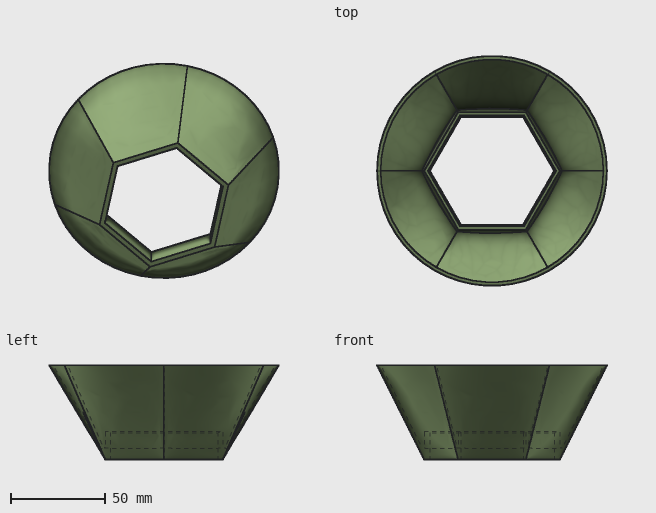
import cadquery as cq
import math

rim_radius = 61.0
base_corner_radius = 36.0
height = 50.0
wall = 2.0

floor_height = 6.1
collar_height = 15.0
opening_flat_radius = 28.5
collar_flat_radius = 31.1
lip_chamfer = 0.9
collar_fillet = 1.5

SIDES = 6
SECTOR = 2 * math.pi / SIDES
FLAT_RATIO = math.cos(SECTOR / 2)


def polar(radius, angle, z):
    return cq.Vector(radius * math.cos(angle), radius * math.sin(angle), z)


def hexagon_to_circle(corner_radius, circle_radius):
    """Solid whose six faces blend each hexagon side into a sixth of the rim."""
    sides = []
    arcs = []
    for i in range(SIDES):
        start = i * SECTOR
        middle = start + SECTOR / 2
        end = start + SECTOR
        sides.append(cq.Edge.makeLine(polar(corner_radius, start, 0), polar(corner_radius, end, 0)))
        arcs.append(cq.Edge.makeThreePointArc(
            polar(circle_radius, start, height),
            polar(circle_radius, middle, height),
            polar(circle_radius, end, height),
        ))
    profiles = [cq.Wire.assembleEdges(sides), cq.Wire.assembleEdges(arcs)]
    return cq.Workplane(obj=cq.Solid.makeLoft(profiles, True))


def hexagonal_prism(flat_radius, top):
    corner_diameter = 2 * flat_radius / FLAT_RATIO
    return cq.Workplane("XY").polygon(SIDES, corner_diameter).extrude(top)


def make_collar(envelope):
    """Collar on a floor plate, with a rounded foot, trimmed to the funnel."""
    plate = hexagonal_prism(rim_radius, floor_height)
    collar = plate.union(hexagonal_prism(collar_flat_radius, collar_height))
    reach = (collar_flat_radius / FLAT_RATIO + rim_radius) / 2
    foot = cq.selectors.BoxSelector(
        (-reach, -reach, floor_height - collar_fillet),
        (reach, reach, floor_height + collar_fillet),
        boundingbox=True,
    )
    collar = collar.edges(foot).fillet(collar_fillet)
    return collar.intersect(envelope)


envelope = hexagon_to_circle(base_corner_radius, rim_radius)
cavity = hexagon_to_circle(base_corner_radius - wall, rim_radius - wall)
shell = envelope.cut(cavity)

opening = hexagonal_prism(opening_flat_radius, collar_height)
body = shell.union(make_collar(envelope)).cut(opening)

lip = (
    cq.Workplane("XY")
    .workplane(offset=collar_height - lip_chamfer)
    .polygon(SIDES, 2 * opening_flat_radius / FLAT_RATIO)
    .workplane(offset=lip_chamfer)
    .polygon(SIDES, 2 * (opening_flat_radius + lip_chamfer) / FLAT_RATIO)
    .loft(ruled=True)
)
result = body.cut(lip)